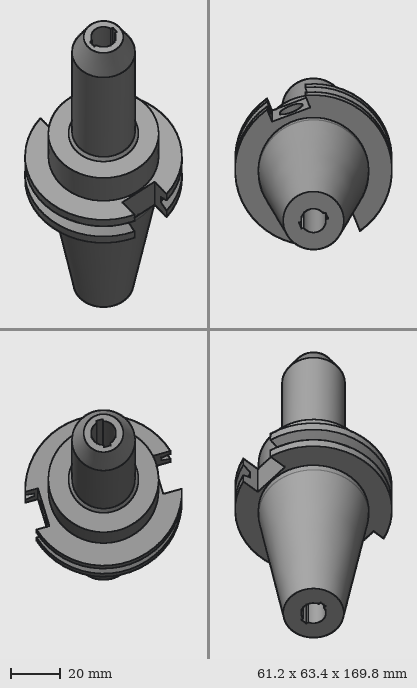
import cadquery as cq

total_height = 169.8
gauge_height = 68.5
flange_bottom = 71.5
flange_top = 87.5
collar_top = 103.3
nose_base = 159.5

taper_tip_radius = 12.2
collar_radius = 22.3
flange_diameter = 63.4
flange_radius = flange_diameter / 2
neck_radius = 12.7
nose_tip_radius = 8.0
neck_foot = 1.4

groove_height = 79.5
groove_root_radius = 28.0
groove_root_half_width = 1.7
groove_mouth_half_width = 3.5

keyway_width = 16.5
left_floor = 25.1
right_floor = 22.8

side_hole_diameter = 9.9
side_hole_depth = 5.1

bore_diameter = 10.0
slot_width = 2.7
slot_span = 11.5


def turned_body():
    """Revolve the taper, grooved flange, collar and neck about Z."""
    profile = [
        (0, 0),
        (taper_tip_radius, 0),
        (collar_radius, gauge_height),
        (collar_radius, flange_bottom),
        (flange_radius, flange_bottom),
        (flange_radius, groove_height - groove_mouth_half_width),
        (groove_root_radius, groove_height - groove_root_half_width),
        (groove_root_radius, groove_height + groove_root_half_width),
        (flange_radius, groove_height + groove_mouth_half_width),
        (flange_radius, flange_top),
        (collar_radius, flange_top),
        (collar_radius, collar_top),
        (neck_radius + neck_foot, collar_top),
        (neck_radius, collar_top + neck_foot),
        (neck_radius, nose_base),
        (nose_tip_radius, total_height),
        (0, total_height),
    ]
    return cq.Workplane("XZ").polyline(profile).close().revolve(360, (0, 0), (0, 1))


def keyway(side, floor):
    """Block that cuts a keyway on one side (-1 or +1) of the flange."""
    depth = flange_radius - floor
    return (
        cq.Workplane("XY", origin=(side * (floor + depth / 2), 0, flange_bottom))
        .rect(depth, keyway_width)
        .extrude(flange_top - flange_bottom)
    )


def side_hole():
    return (
        cq.Workplane("YZ", origin=(-left_floor, 0, (flange_bottom + flange_top) / 2))
        .circle(side_hole_diameter / 2)
        .extrude(side_hole_depth)
    )


def bore():
    hole = cq.Workplane("XY").circle(bore_diameter / 2).extrude(total_height)
    slots = cq.Workplane("XY").rect(slot_width, slot_span).extrude(total_height)
    return hole.union(slots)


result = (
    turned_body()
    .cut(keyway(-1, left_floor))
    .cut(keyway(1, right_floor))
    .cut(side_hole())
    .cut(bore())
)